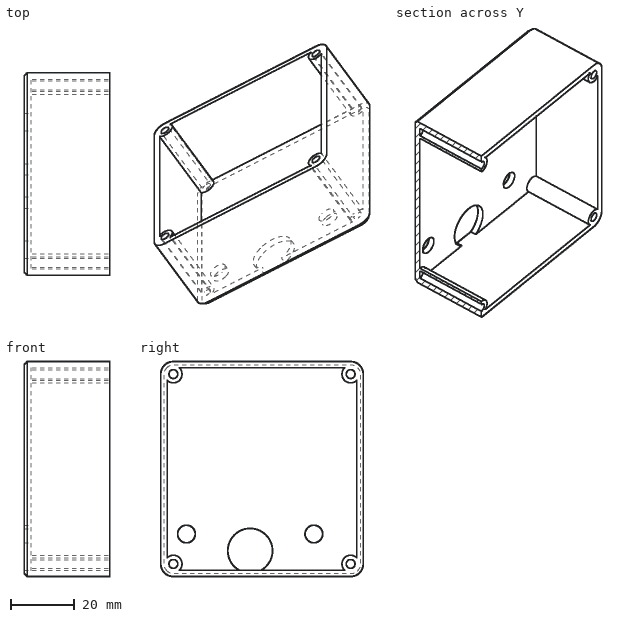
import cadquery as cq

depth = 27.0
width = 63.7
height = 67.6

wall = 2.0
corner_radius = 4.0
inner_radius = corner_radius - wall
front_chamfer = 1.0

hole_center_y = -3.7
small_hole_diameter = 5.5
small_hole_spacing = 40.0
small_hole_height = 13.4
large_hole_diameter = 14.0
large_hole_height = 8.1

post_diameter = 5.5
post_bore_diameter = 2.8
post_y = width / 2 - corner_radius
post_z = height / 2 - corner_radius
post_places = [(y, z) for y in (-post_y, post_y) for z in (-post_z, post_z)]

cavity_width = width - 2 * wall
cavity_height = height - 2 * wall
bottom = -height / 2


def rounded_block(length, block_width, block_height, radius):
    """Block from X = 0 to X = length with its four edges along X rounded."""
    block = cq.Workplane("YZ").rect(block_width, block_height).extrude(length)
    return block.edges("|X").fillet(radius)


def corner_cylinders(diameter):
    """Four cylinders from the inside of the front wall to the open side."""
    plane = cq.Workplane("YZ", origin=(wall, 0, 0)).pushPoints(post_places)
    return plane.circle(diameter / 2).extrude(depth - wall)


def front_hole(diameter, y, height_above_bottom):
    """Cylinder that passes through the front wall."""
    plane = cq.Workplane("YZ").center(y, bottom + height_above_bottom)
    return plane.circle(diameter / 2).extrude(wall)


shell = rounded_block(depth, width, height, corner_radius)
shell = shell.faces("<X").edges().chamfer(front_chamfer)

cavity = rounded_block(depth - wall, cavity_width, cavity_height, inner_radius)
result = shell.cut(cavity.translate((wall, 0, 0)))

result = result.union(corner_cylinders(post_diameter))
result = result.cut(corner_cylinders(post_bore_diameter))

for side in (-1, 1):
    hole_y = hole_center_y + side * small_hole_spacing / 2
    result = result.cut(front_hole(small_hole_diameter, hole_y, small_hole_height))

large_hole = front_hole(large_hole_diameter, hole_center_y, large_hole_height)
cavity_outline = rounded_block(wall, cavity_width, cavity_height, inner_radius)
result = result.cut(large_hole.intersect(cavity_outline))